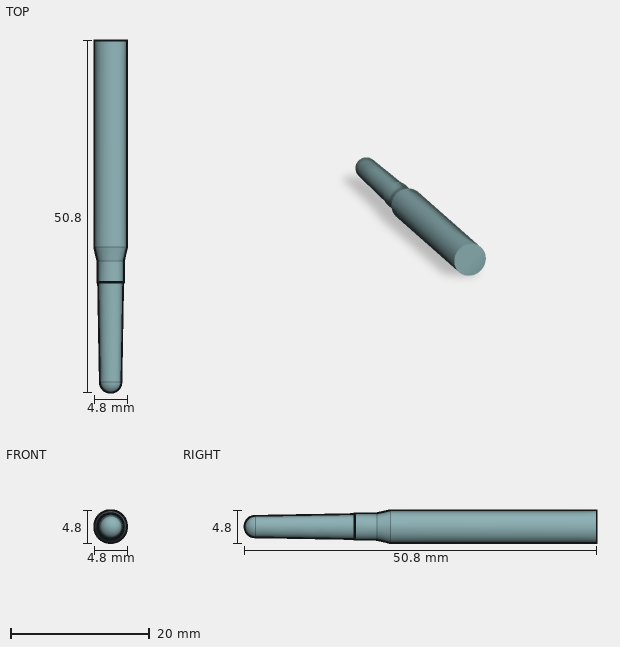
import cadquery as cq
import math

total_length = 50.8
shank_radius = 2.4
shoulder_start = 21.05
collar_start = 19.05
collar_radius = 1.95
joint_position = 16.0
head_rim_length = 0.15
head_base_radius = 1.85
ball_radius = 1.6

taper_start = joint_position - head_rim_length


def revolve_about_y(profile):
    """Turn a closed half-profile, X = radius, about the Y axis."""
    return profile.close().revolve(360, (0, 0, 0), (0, 1, 0))


def make_shank():
    """Cylindrical shank with a conical shoulder and a narrower collar."""
    profile = (
        cq.Workplane("XY")
        .moveTo(0, joint_position)
        .lineTo(collar_radius, joint_position)
        .lineTo(collar_radius, collar_start)
        .lineTo(shank_radius, shoulder_start)
        .lineTo(shank_radius, total_length)
        .lineTo(0, total_length)
    )
    return revolve_about_y(profile)


def make_head():
    """Slightly tapered head with a hemispherical tip and a thin rim at its base."""
    arc_mid_offset = ball_radius * math.sqrt(0.5)
    profile = (
        cq.Workplane("XY")
        .moveTo(0, 0)
        .threePointArc(
            (arc_mid_offset, ball_radius - arc_mid_offset),
            (ball_radius, ball_radius),
        )
        .lineTo(head_base_radius, taper_start)
        .lineTo(collar_radius, taper_start)
        .lineTo(collar_radius, joint_position)
        .lineTo(0, joint_position)
    )
    return revolve_about_y(profile)


shank = make_shank()
head = make_head()

result = cq.Compound.makeCompound([shank.val(), head.val()])